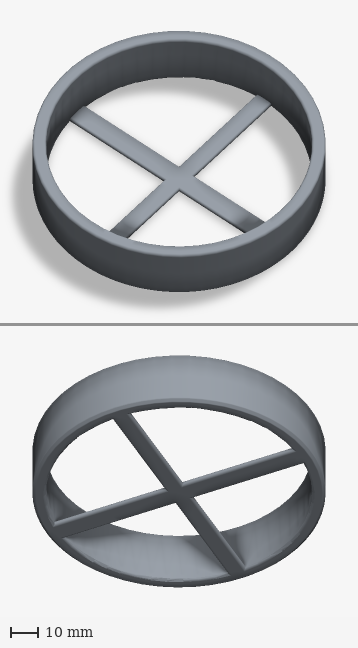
import cadquery as cq

outer_diameter = 108.0
inner_diameter = 98.0
height = 22.0
rim_round = 1.0
bore_base_round = 1.0

base_chamfer = 1.1
base_corner_round = 0.5

bar_along_x_width = 8.4
bar_along_y_width = 7.0
bar_thickness = 2.0
bar_top_round = 0.8
bar_bottom_round = 1.0

bar_length = (outer_diameter + inner_diameter) / 2

outer_radius = outer_diameter / 2
inner_radius = inner_diameter / 2


def make_ring():
    """Ring with a rounded rim and a softened chamfer on the outer bottom edge."""
    disc = cq.Workplane("XY").circle(outer_radius).extrude(height)
    disc = disc.faces("<Z").edges().chamfer(base_chamfer)
    disc = disc.edges("%CIRCLE and (not >Z)").fillet(base_corner_round)
    bore = cq.Workplane("XY").circle(inner_radius).extrude(height)
    ring = disc.cut(bore).faces(">Z").edges().fillet(rim_round)
    inner_bottom_edge = cq.selectors.RadiusNthSelector(0)
    return ring.faces("<Z").edges(inner_bottom_edge).fillet(bore_base_round)


def make_bar(size_x, size_y):
    """Flat bar centred on the ring axis, resting on the base plane."""
    return cq.Workplane("XY").box(size_x, size_y, bar_thickness, centered=(True, True, False))


def make_cross():
    """Two crossing bars with rounded top and bottom edges."""
    bar_along_x = make_bar(bar_length, bar_along_x_width)
    bar_along_y = make_bar(bar_along_y_width, bar_length)
    cross = bar_along_x.union(bar_along_y)
    cross = cross.faces(">Z").edges().fillet(bar_top_round)
    return cross.faces("<Z").edges().fillet(bar_bottom_round)


result = make_ring().union(make_cross())